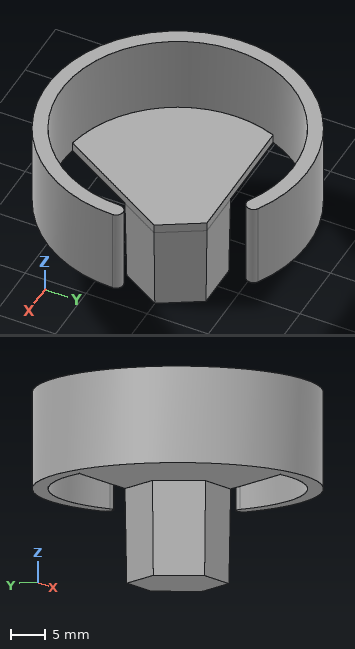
import cadquery as cq
import math

outer_radius = 21.35
wall = 2.35
ring_height = 14.4
gap_angle = 60.0
inner_radius = outer_radius - wall
mid_radius = outer_radius - wall / 2

floor_thickness = 1.5

shaft_length = 14.1
hex_radius_top = 7.77
hex_radius_bottom = 7.5


def polar(radius, degrees):
    angle = math.radians(degrees)
    return (radius * math.cos(angle), radius * math.sin(angle))


def make_ring():
    """C-shaped band with rounded ends facing the gap."""
    middle_angle = gap_angle / 2 + 180
    cap_angle = math.degrees(wall / 2 / mid_radius)
    return (
        cq.Workplane("XY")
        .moveTo(*polar(outer_radius, gap_angle))
        .threePointArc(polar(outer_radius, middle_angle), polar(outer_radius, 0))
        .threePointArc(polar(mid_radius, cap_angle), polar(inner_radius, 0))
        .threePointArc(polar(inner_radius, middle_angle), polar(inner_radius, gap_angle))
        .threePointArc(polar(mid_radius, gap_angle - cap_angle), polar(outer_radius, gap_angle))
        .close()
        .extrude(ring_height)
    )


def make_floor():
    """Web whose free edges follow three sides of the hexagon and run out to the ring."""
    corner_right = polar(hex_radius_top, 0)
    corner_upper = polar(hex_radius_top, 60)
    reach = 2 * outer_radius
    run_left = polar(reach, 180)
    run_down = polar(reach, 240)
    end_left = (corner_upper[0] + run_left[0], corner_upper[1] + run_left[1])
    end_down = (corner_right[0] + run_down[0], corner_right[1] + run_down[1])
    far_corner = (end_left[0], end_down[1])
    web = (
        cq.Workplane("XY")
        .polyline([corner_right, corner_upper, end_left, far_corner, end_down])
        .close()
        .extrude(floor_thickness)
    )
    disc = cq.Workplane("XY").circle(mid_radius).extrude(floor_thickness)
    return web.intersect(disc)


def make_shaft():
    """Hexagonal shaft narrowing downward."""
    return (
        cq.Workplane("XY")
        .polygon(6, 2 * hex_radius_top)
        .workplane(offset=-shaft_length)
        .polygon(6, 2 * hex_radius_bottom)
        .loft(ruled=True)
    )


result = make_ring().union(make_floor()).union(make_shaft())